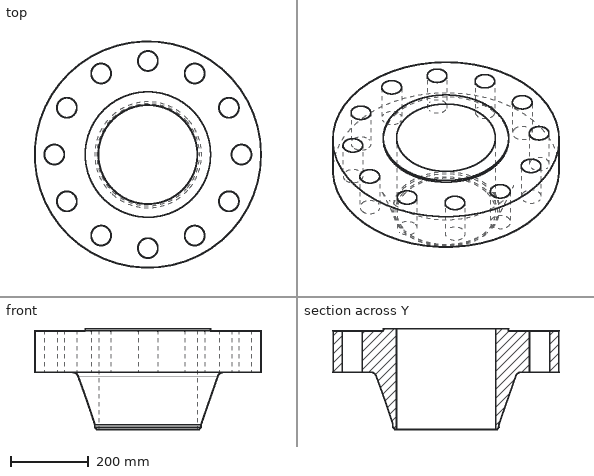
import cadquery as cq

flange_diameter = 584.0
flange_thickness = 107.5
raised_face_diameter = 323.5
raised_face_height = 6.0

bolt_count = 12
bolt_circle_diameter = 482.5
bolt_hole_diameter = 51.0

total_height = 260.5
bore_diameter = 255.0
hub_top_diameter = 368.0
hub_fillet_radius = 14.0
pipe_diameter = 274.5
pipe_length = 13.0
weld_bevel_height = 6.0
weld_bevel_width = 5.0

face_z = total_height
flange_top_z = face_z - raised_face_height
flange_bottom_z = flange_top_z - flange_thickness


def make_body():
    """Revolve the solid outer profile of the flange and its neck about Z."""
    pipe_radius = pipe_diameter / 2
    profile = [
        (0, 0),
        (pipe_radius - weld_bevel_width, 0),
        (pipe_radius, weld_bevel_height),
        (pipe_radius, pipe_length),
        (hub_top_diameter / 2, flange_bottom_z),
        (flange_diameter / 2, flange_bottom_z),
        (flange_diameter / 2, flange_top_z),
        (raised_face_diameter / 2, flange_top_z),
        (raised_face_diameter / 2, face_z),
        (0, face_z),
    ]
    body = cq.Workplane("XZ").polyline(profile).close().revolve(360, (0, 0), (0, 1))
    tolerance = 0.5
    hub_radius = hub_top_diameter / 2
    root_box = cq.selectors.BoxSelector(
        (-hub_radius - tolerance, -hub_radius - tolerance, flange_bottom_z - tolerance),
        (hub_radius + tolerance, hub_radius + tolerance, flange_bottom_z + tolerance),
        boundingbox=True,
    )
    return body.edges(root_box).fillet(hub_fillet_radius)


def make_bore():
    """Straight passage through the full height."""
    return cq.Workplane("XY").circle(bore_diameter / 2).extrude(total_height)


def make_bolt_holes():
    """Ring of through holes, the first on the +X axis."""
    return (
        cq.Workplane("XY", origin=(0, 0, flange_bottom_z))
        .polarArray(bolt_circle_diameter / 2, 0, 360, bolt_count)
        .circle(bolt_hole_diameter / 2)
        .extrude(flange_thickness)
    )


result = make_body().cut(make_bore()).cut(make_bolt_holes())